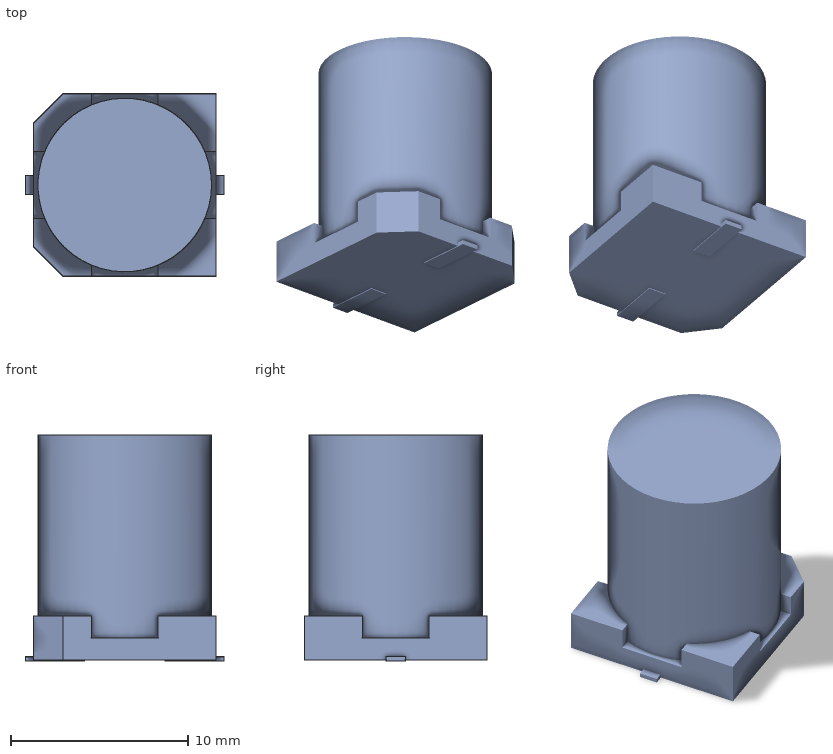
import cadquery as cq

total_height = 12.75
overall_length = 11.2

base_side = 10.31
base_standoff = 0.05
base_height = 2.5
corner_cut = 1.67
notch_width = 3.77
notch_depth = base_height / 2
base_top = base_standoff + base_height
seat_level = base_top - notch_depth

can_diameter = 9.79
can_height = total_height - seat_level

terminal_length = 3.32
terminal_width = 1.08
terminal_thickness = 0.25


def make_can():
    """Plain cylinder standing on the seat of the base."""
    return cq.Workplane("XY").workplane(offset=seat_level).circle(can_diameter / 2).extrude(can_height)


def make_terminal(side):
    """Flat strip on the mounting plane; side is -1 for the -X end and +1 for the +X end."""
    center_x = side * (overall_length - terminal_length) / 2
    return (
        cq.Workplane("XY")
        .center(center_x, 0)
        .rect(terminal_length, terminal_width)
        .extrude(terminal_thickness)
    )


def make_base(can, terminals):
    """Square base with two cut corners, a notch in each side, a can seat and terminal recesses."""
    base = (
        cq.Workplane("XY")
        .workplane(offset=base_standoff)
        .rect(base_side, base_side)
        .extrude(base_height)
        .edges("|Z and <X")
        .chamfer(corner_cut)
    )
    notch_plane = cq.Workplane("XY").workplane(offset=seat_level)
    base = base.cut(notch_plane.rect(base_side, notch_width).extrude(notch_depth))
    base = base.cut(notch_plane.rect(notch_width, base_side).extrude(notch_depth))
    base = base.cut(can)
    for terminal in terminals:
        base = base.cut(terminal)
    return base


can = make_can()
terminals = [make_terminal(side) for side in (-1, 1)]
base = make_base(can, terminals)

result = cq.Compound.makeCompound(
    [
        base.solids().val(),
        can.val(),
        *[terminal.val() for terminal in terminals],
    ]
)